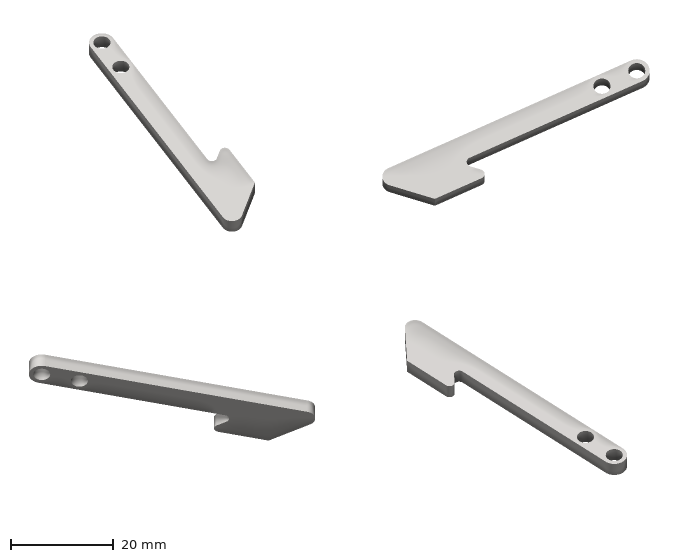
import cadquery as cq
import math

length = 57.25
hook_height = 10.0
bar_width = hook_height / 2
thickness = 3.0
nose_radius = 2.0
hook_radius = 1.0
hook_tip_x = 38.9
hole_diameter = 3.3
hole_spacing = 7.55

end_radius = bar_width / 2
nose_x = length - nose_radius
tip_x = hook_tip_x + hook_radius
tip_y = hook_height - hook_radius
root_y = bar_width + hook_radius
root_x = tip_x + tip_y - root_y - 2 * hook_radius * math.sqrt(2)

ramp_top_x = nose_x + nose_radius + nose_radius * math.sqrt(2) - hook_height


def on_arc(center_x, center_y, radius, degrees):
    """Point on a circle, at an angle counterclockwise from +X."""
    angle = math.radians(degrees)
    return (center_x + radius * math.cos(angle), center_y + radius * math.sin(angle))


def make_body():
    """Flat lever with a round eye end, a ramped nose and a hook."""
    outline = (
        cq.Workplane("XY")
        .moveTo(end_radius, 0)
        .lineTo(nose_x, 0)
        .threePointArc(
            on_arc(nose_x, nose_radius, nose_radius, 0),
            on_arc(nose_x, nose_radius, nose_radius, 45),
        )
        .lineTo(ramp_top_x, hook_height)
        .lineTo(tip_x, hook_height)
        .threePointArc(
            on_arc(tip_x, tip_y, hook_radius, 135),
            on_arc(tip_x, tip_y, hook_radius, 180),
        )
        .threePointArc(
            on_arc(tip_x, tip_y, hook_radius, 202.5),
            on_arc(tip_x, tip_y, hook_radius, 225),
        )
        .lineTo(*on_arc(root_x, root_y, hook_radius, 45))
        .threePointArc(
            on_arc(root_x, root_y, hook_radius, 22.5),
            on_arc(root_x, root_y, hook_radius, 0),
        )
        .threePointArc(
            on_arc(root_x, root_y, hook_radius, -45),
            on_arc(root_x, root_y, hook_radius, -90),
        )
        .lineTo(end_radius, bar_width)
        .threePointArc(on_arc(end_radius, end_radius, end_radius, 135), (0, end_radius))
        .threePointArc(on_arc(end_radius, end_radius, end_radius, 225), (end_radius, 0))
        .close()
    )
    return outline.extrude(thickness, clean=False)


def make_holes():
    """Two pin holes on the bar's centreline, the first concentric with the eye end."""
    centers = [(end_radius + i * hole_spacing, end_radius) for i in range(2)]
    return cq.Workplane("XY").pushPoints(centers).circle(hole_diameter / 2).extrude(thickness)


result = make_body().cut(make_holes(), clean=False)